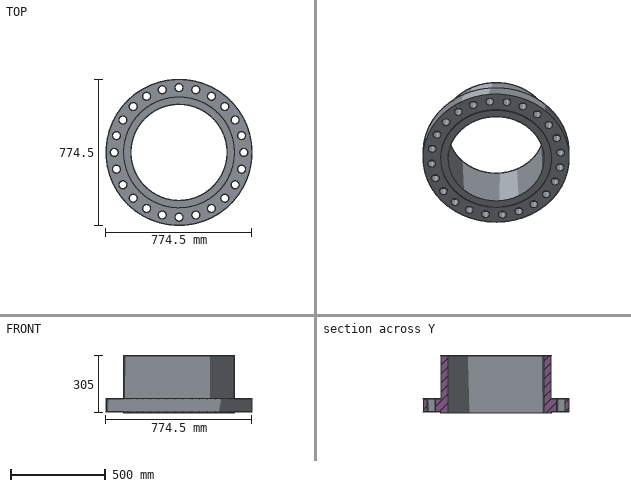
import cadquery as cq

flange_diameter = 774.5
total_height = 305.0

raised_face_height = 7.0
flange_thickness = 70.0
neck_height = total_height - raised_face_height - flange_thickness

neck_diameter = 587.0
bore_diameter = 508.0
raised_face_diameter = neck_diameter

bolt_count = 24
bolt_circle_diameter = 686.0
bolt_hole_diameter = 41.0


def stacked_body():
    """Raised face at the bottom, then the flange, then the straight neck."""
    return (
        cq.Workplane("XY")
        .circle(raised_face_diameter / 2)
        .extrude(raised_face_height)
        .faces(">Z")
        .workplane()
        .circle(flange_diameter / 2)
        .extrude(flange_thickness)
        .faces(">Z")
        .workplane()
        .circle(neck_diameter / 2)
        .extrude(neck_height)
    )


def bore():
    return cq.Workplane("XY").circle(bore_diameter / 2).extrude(total_height)


def bolt_holes():
    """Ring of through holes, the first one on the X axis."""
    return (
        cq.Workplane("XY")
        .polarArray(bolt_circle_diameter / 2, 0, 360, bolt_count)
        .circle(bolt_hole_diameter / 2)
        .extrude(raised_face_height + flange_thickness)
    )


result = stacked_body().cut(bore()).cut(bolt_holes())